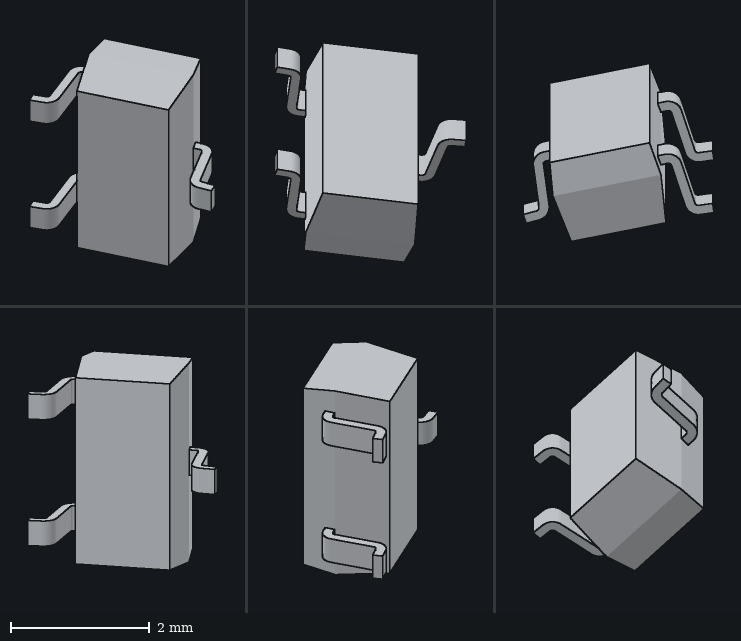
import cadquery as cq
import math

BODY_WIDTH = 1.6
BODY_HEIGHT = 3.0
BACK_DEPTH = 0.5
FRONT_DEPTH = 0.8
DRAFT_ANGLE = 7.0

LEAD_SPAN = 2.8
LEAD_THICKNESS = 0.15
LEAD_WIDTH = 0.38
LEAD_OFFSET = 0.95
INNER_RADIUS = 0.05
OUTER_RADIUS = INNER_RADIUS + LEAD_THICKNESS
UPPER_BEND_X = 0.895
FOOT_Y = -0.9
LEG_LENGTH = 0.66
LEG_TILT = 5.0
FOOT_TILT = 4.0


def make_half(depth, direction):
    """Half of the body, tapering away from the parting plane; direction is +1 or -1 along Y."""
    plane = cq.Plane(origin=(0, 0, 0), xDir=(1, 0, 0), normal=(0, direction, 0))
    return cq.Workplane(plane).rect(BODY_WIDTH, BODY_HEIGHT).extrude(depth, taper=DRAFT_ANGLE)


def make_body():
    return make_half(BACK_DEPTH, 1).union(make_half(FRONT_DEPTH, -1))


def point_at(centre, radius, angle):
    """Point on a circle, with the angle in degrees from +X towards +Y."""
    turn = math.radians(angle)
    return (centre[0] + radius * math.cos(turn), centre[1] + radius * math.sin(turn))


def make_lead(z_middle):
    """Lead on the -X side: its XY profile extruded along Z about z_middle."""
    upper_start = 90.0
    upper_end = 180.0 - LEG_TILT
    upper_middle = (upper_start + upper_end) / 2
    lower_start = -LEG_TILT
    lower_end = FOOT_TILT - 90.0
    lower_middle = (lower_start + lower_end) / 2

    upper_centre = (-UPPER_BEND_X, LEAD_THICKNESS - OUTER_RADIUS)
    across_leg = point_at(upper_centre, INNER_RADIUS + OUTER_RADIUS, upper_end)
    lower_centre = point_at(across_leg, LEG_LENGTH, -90.0 - LEG_TILT)

    foot_turn = math.radians(FOOT_TILT)
    tip_top = (-LEAD_SPAN / 2, FOOT_Y + LEAD_THICKNESS * math.cos(foot_turn))
    tip_bottom = (tip_top[0] + LEAD_THICKNESS * math.sin(foot_turn), FOOT_Y)

    root_x = -BODY_WIDTH / 2
    root_inset = LEAD_THICKNESS * math.tan(math.radians(DRAFT_ANGLE))

    return (
        cq.Workplane("XY", origin=(0, 0, z_middle - LEAD_WIDTH / 2))
        .moveTo(root_x + root_inset, LEAD_THICKNESS)
        .lineTo(*point_at(upper_centre, OUTER_RADIUS, upper_start))
        .threePointArc(
            point_at(upper_centre, OUTER_RADIUS, upper_middle),
            point_at(upper_centre, OUTER_RADIUS, upper_end),
        )
        .lineTo(*point_at(lower_centre, INNER_RADIUS, lower_start))
        .threePointArc(
            point_at(lower_centre, INNER_RADIUS, lower_middle),
            point_at(lower_centre, INNER_RADIUS, lower_end),
        )
        .lineTo(*tip_top)
        .lineTo(*tip_bottom)
        .lineTo(*point_at(lower_centre, OUTER_RADIUS, lower_end))
        .threePointArc(
            point_at(lower_centre, OUTER_RADIUS, lower_middle),
            point_at(lower_centre, OUTER_RADIUS, lower_start),
        )
        .lineTo(*point_at(upper_centre, INNER_RADIUS, upper_end))
        .threePointArc(
            point_at(upper_centre, INNER_RADIUS, upper_middle),
            point_at(upper_centre, INNER_RADIUS, upper_start),
        )
        .lineTo(root_x, 0)
        .close()
        .extrude(LEAD_WIDTH)
    )


body = make_body()

leads = []
for lead_z in (-LEAD_OFFSET, LEAD_OFFSET):
    leads.append(make_lead(lead_z))
leads.append(make_lead(0).mirror("YZ"))

result = cq.Compound.makeCompound([body.val(), *[lead.val() for lead in leads]])